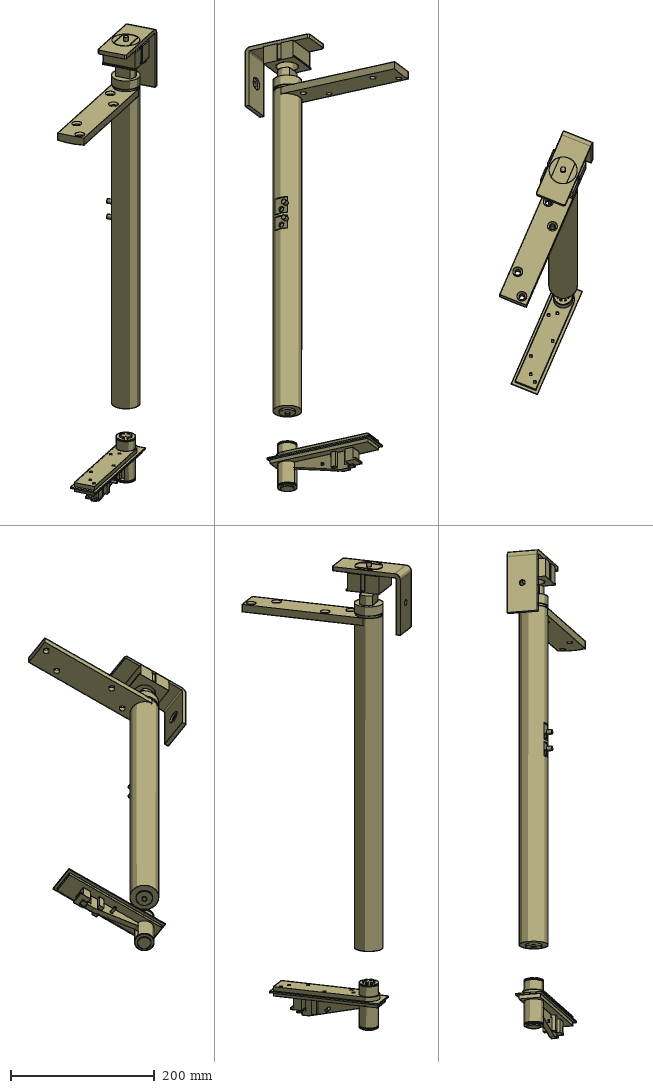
import cadquery as cq

total_height = 679.5
total_depth = 236.0

bracket_width = 43.5
bracket_thickness = 6.0
bracket_back = 55.0
bracket_front = -46.0
bracket_top = 674.0
bracket_bottom = 585.0
bend_radius = 8.0
inner_bend_radius = 2.0
bracket_corner = 2.0
leg_hole_diameter = 8.0
leg_counterbore_diameter = 18.0
leg_counterbore_depth = 3.0
leg_hole_height = 626.5

disc_diameter = 39.0
disc_groove_width = 23.0
disc_groove_depth = 1.0
socket_width = 49.0
socket_bottom = 642.0
socket_back = 24.5
socket_front = -22.5
socket_lip_front = -24.5
socket_lip_height = 2.0
socket_slot_width = 6.0
socket_slot_depth = 2.0
socket_bore_diameter = 31.0
socket_bore_depth = 13.5
top_pin_diameter = 7.0

pole_diameter = 40.0
pole_bottom = 118.0
pole_top = 603.5
neck_diameter = 37.0
collar_bottom = 607.0
collar_top = 620.5
spindle_diameter = 29.0
spindle_thickness = 19.0
spindle_top = 634.5
foot_diameter = 23.0
foot_height = 3.0
foot_pin_diameter = 7.0
foot_pin_height = 2.0

window_width = 19.0
window_heights = (20.0, 24.0)
window_pitch = 24.0
window_floor = 388.0
stub_diameter = 7.0
stub_y = -7.5
stub_rise = 14.0
window_hole_diameter = 7.5
window_hole_depth = 3.5
window_hole_rise = 7.0

arm_width = pole_diameter
arm_edge_thickness = 11.0
arm_crown = 1.5
arm_end = bracket_back - total_depth
arm_root = -1.0
arm_hole_diameter = 8.0
arm_countersink_diameter = 13.5
arm_countersink_angle = 90
arm_hole_offset = 9.5
arm_hole_pitch = 30.5
arm_first_hole = -30.5
arm_last_hole = -171.0

post_diameter = 27.0
post_bottom = 2.0
post_top = 67.0
post_groove_width = 1.0
post_groove_depth = 1.0
post_groove_inset = 2.0
post_slot_bottom = 5.5
post_slot_depth = 7.0
post_foot_diameter = 19.0
crown_diameter = 18.0
crown_bore_diameter = 15.0
crown_height = 2.0
crown_slot_width = 3.5
crown_slot_offset = 3.5
centre_hole_diameter = 1.0
centre_hole_depth = 3.5
plate_width = 31.0
plate_bottom = 37.0
plate_top = 50.0
plate_back = 19.0
plate_front = -136.0
flange_width = 39.5
flange_back = 22.0
flange_front = -140.0
flange_bottom = 42.0
flange_thickness = 2.0
plate_hole_diameter = 4.0
plate_hole_depth = 3.5
plate_holes = [(1.0, -22.5), (-9.5, -29.0), (10.0, -62.0), (-9.5, -94.0), (1.0, -118.0), (10.0, -126.5)]
rib_width = 7.5
rib_root_bottom = 28.5
rib_tail_start = -87.5
rib_tail_end = -98.0
rib_tail_bottom = 9.5
rib_tail_top = 16.0
rib_end = -92.5
rib_relief_length = 4.0
rib_relief_height = 3.5
tongue_front = -106.0
tongue_bottom = 12.0
tongue_thickness = 2.0
block_width = 18.5
front_block_back = -74.0
front_block_front = -81.5
front_block_bottom = 14.0
rear_block_back = -96.5
rear_block_front = -109.0
rear_block_bottom = 18.0
rear_foot_front = -113.0
rear_foot_thickness = 3.0
pin_diameter = 4.0
pin_y = -58.0
pin_z = 24.0
pin_head_height = 1.5
pin_end = 13.5


def block(x_size, y_min, y_max, z_min, z_max):
    """Box centred on X = 0 between the given Y and Z limits."""
    size = (x_size, y_max - y_min, z_max - z_min)
    return cq.Workplane("XY").box(*size, centered=(True, False, False)).translate((0, y_min, z_min))


def cylinder(diameter, z_min, z_max, x=0, y=0):
    """Upright cylinder between two heights."""
    return cq.Workplane("XY", origin=(x, y, z_min)).circle(diameter / 2).extrude(z_max - z_min)


def make_bracket():
    plate_underside = bracket_top - bracket_thickness
    top_plate = block(bracket_width, bracket_front, bracket_back, plate_underside, bracket_top)
    leg = block(bracket_width, bracket_back - bracket_thickness, bracket_back, bracket_bottom, bracket_top)
    bracket = top_plate.union(leg).edges("|X and >Y and >Z").fillet(bend_radius)
    inner_corner = cq.selectors.NearestToPointSelector((0, bracket_back - bracket_thickness, plate_underside))
    bracket = bracket.edges(inner_corner).fillet(inner_bend_radius)
    bracket = bracket.edges("|Z and <Y").chamfer(bracket_corner)
    bracket = bracket.cut(cylinder(disc_diameter, plate_underside, bracket_top))
    leg_face = cq.Workplane("XZ", origin=(0, bracket_back, leg_hole_height))
    leg_hole = leg_face.circle(leg_hole_diameter / 2).extrude(bracket_thickness)
    counterbore = (
        leg_face.workplane(offset=bracket_thickness - leg_counterbore_depth)
        .circle(leg_counterbore_diameter / 2)
        .extrude(leg_counterbore_depth)
    )
    return bracket.cut(leg_hole).cut(counterbore)


def make_socket():
    socket_top = bracket_top - bracket_thickness
    socket = block(socket_width, socket_front, socket_back, socket_bottom, socket_top)
    lip_top = socket_bottom + socket_lip_height
    socket = socket.union(block(socket_width, socket_lip_front, socket_back, socket_bottom, lip_top))
    slot = block(socket_slot_depth, -socket_slot_width / 2, socket_slot_width / 2, lip_top, socket_top)
    for side in (-1, 1):
        socket = socket.cut(slot.translate((side * (socket_width - socket_slot_depth) / 2, 0, 0)))
    socket = socket.cut(cylinder(socket_bore_diameter, socket_bottom, socket_bottom + socket_bore_depth))
    disc = cylinder(disc_diameter, socket_top, bracket_top)
    groove_floor = bracket_top - disc_groove_depth
    groove = block(disc_groove_width, -disc_diameter, disc_diameter, groove_floor, bracket_top)
    return socket.union(disc.cut(groove)).union(cylinder(top_pin_diameter, groove_floor, total_height))


def make_pole():
    pole = cylinder(pole_diameter, pole_bottom, pole_top)
    pole = pole.union(cylinder(neck_diameter, pole_top, collar_bottom))
    pole = pole.union(cylinder(pole_diameter, collar_bottom, collar_top))
    half = spindle_thickness / 2
    flats = block(spindle_diameter, -half, half, collar_top, spindle_top)
    pole = pole.union(cylinder(spindle_diameter, collar_top, spindle_top).intersect(flats))
    foot_bottom = pole_bottom - foot_height
    pole = pole.union(cylinder(foot_diameter, foot_bottom, pole_bottom))
    pole = pole.union(cylinder(foot_pin_diameter, foot_bottom - foot_pin_height, foot_bottom))
    pole = pole.cut(arm_bar())
    for index, window_height in enumerate(window_heights):
        pole = add_window(pole, window_floor + index * window_pitch, window_height)
    return pole


def add_window(pole, floor, window_height):
    """Cut one flat window into the -X side, with its blind hole and projecting stub."""
    radius = pole_diameter / 2
    flat_x = -((radius**2 - (window_width / 2) ** 2) ** 0.5)
    half = window_width / 2
    recess = block(radius, -half, half, floor, floor + window_height).translate((flat_x - radius / 2, 0, 0))
    hole = (
        cq.Workplane("YZ", origin=(flat_x, 0, floor + window_hole_rise))
        .circle(window_hole_diameter / 2)
        .extrude(window_hole_depth)
    )
    stub_start = -socket_width / 2
    stub = (
        cq.Workplane("YZ", origin=(stub_start, stub_y, floor + stub_rise))
        .circle(stub_diameter / 2)
        .extrude(flat_x + window_hole_depth - stub_start)
    )
    return pole.cut(recess).cut(hole).union(stub)


def arm_bar():
    """Arm without its holes: flat on top, crowned underneath."""
    half = arm_width / 2
    edge_z = pole_top - arm_edge_thickness
    return (
        cq.Workplane("XZ", origin=(0, arm_root, 0))
        .moveTo(-half, pole_top)
        .lineTo(half, pole_top)
        .lineTo(half, edge_z)
        .threePointArc((0, edge_z - arm_crown), (-half, edge_z))
        .close()
        .extrude(arm_root - arm_end)
    )


def make_arm():
    hole_points = [
        (-arm_hole_offset, arm_first_hole),
        (arm_hole_offset, arm_first_hole - arm_hole_pitch),
        (-arm_hole_offset, arm_last_hole + arm_hole_pitch),
        (arm_hole_offset, arm_last_hole),
    ]
    return (
        arm_bar()
        .faces(">Z")
        .workplane(origin=(0, 0, pole_top))
        .pushPoints(hole_points)
        .cskHole(arm_hole_diameter, arm_countersink_diameter, arm_countersink_angle)
    )


def make_post_groove(middle):
    """Ring to cut from the post for a fine groove centred on the given height."""
    bottom = middle - post_groove_width / 2
    top = bottom + post_groove_width
    core = cylinder(post_diameter - 2 * post_groove_depth, bottom, top)
    return cylinder(post_diameter, bottom, top).cut(core)


def make_crown():
    """Ring on top of the post, parted by two slots in each direction."""
    crown_top = post_top + crown_height
    crown = cylinder(crown_diameter, post_top, crown_top).cut(
        cylinder(crown_bore_diameter, post_top, crown_top)
    )
    reach = crown_diameter / 2
    slot = block(crown_slot_width, -reach, reach, post_top, crown_top)
    for x in (-crown_slot_offset, crown_slot_offset):
        for turn in (0, 90):
            crown = crown.cut(slot.translate((x, 0, 0)).rotate((0, 0, 0), (0, 0, 1), turn))
    return crown


def make_pivot():
    post = cylinder(post_diameter, post_bottom, post_top)
    for groove_middle in (post_bottom + post_groove_inset, post_top - post_groove_inset):
        post = post.cut(make_post_groove(groove_middle))
    slot_front = -post_diameter / 2
    slot_back = slot_front + post_slot_depth
    post = post.cut(block(rib_width, slot_front, slot_back, post_slot_bottom, plate_bottom))
    post = post.union(cylinder(post_foot_diameter, 0, post_bottom))
    post = post.cut(cylinder(centre_hole_diameter, post_top - centre_hole_depth, post_top))
    post = post.union(make_crown())

    plate = block(plate_width, plate_front, 0, plate_bottom, plate_top)
    plate = plate.union(block(plate_width, plate_front, plate_back, plate_bottom, flange_bottom))
    plate = plate.union(cylinder(plate_width, plate_bottom, plate_top))
    plate = plate.union(
        block(flange_width, flange_front, flange_back, flange_bottom, flange_bottom + flange_thickness)
    )
    for x, y in plate_holes:
        plate = plate.cut(cylinder(plate_hole_diameter, plate_top - plate_hole_depth, plate_top, x, y))

    return post.union(plate).union(make_closer())


def make_closer():
    """Sloping rib under the plate with its tail, blocks, foot and cross pin."""
    closer = (
        cq.Workplane("YZ")
        .moveTo(-post_diameter / 2 + post_slot_depth, plate_bottom)
        .lineTo(-post_diameter / 2 + post_slot_depth, rib_root_bottom)
        .lineTo(-post_diameter / 2, rib_root_bottom)
        .lineTo(rib_tail_start, rib_tail_bottom)
        .lineTo(rib_tail_end, rib_tail_bottom)
        .lineTo(rib_tail_end, rib_tail_top)
        .lineTo(rib_end, rib_tail_top)
        .lineTo(rib_end, plate_bottom)
        .close()
        .extrude(rib_width / 2, both=True)
    )
    relief_front = front_block_back
    relief_back = relief_front + rib_relief_length
    closer = closer.cut(
        block(rib_width, relief_front, relief_back, plate_bottom - rib_relief_height, plate_bottom)
    )
    tongue_top = tongue_bottom + tongue_thickness
    tongue = block(rib_width, tongue_front, rib_tail_end, tongue_bottom, tongue_top)
    front_block = block(block_width, front_block_front, front_block_back, front_block_bottom, plate_bottom)
    rear_block = block(block_width, rear_block_front, rear_block_back, rear_block_bottom, plate_bottom)
    foot_top = rear_block_bottom + rear_foot_thickness
    rear_foot = block(block_width, rear_foot_front, rear_block_back, rear_block_bottom, foot_top)
    pin_start = -rib_width / 2 - pin_head_height
    pin = (
        cq.Workplane("YZ", origin=(pin_start, pin_y, pin_z))
        .circle(pin_diameter / 2)
        .extrude(pin_end - pin_start)
    )
    for piece in (tongue, front_block, rear_block, rear_foot, pin):
        closer = closer.union(piece)
    return closer


bracket = make_bracket()
socket = make_socket()
pole = make_pole()
arm = make_arm()
pivot = make_pivot()

result = cq.Compound.makeCompound([bracket.val(), socket.val(), pole.val(), arm.val(), pivot.val()])